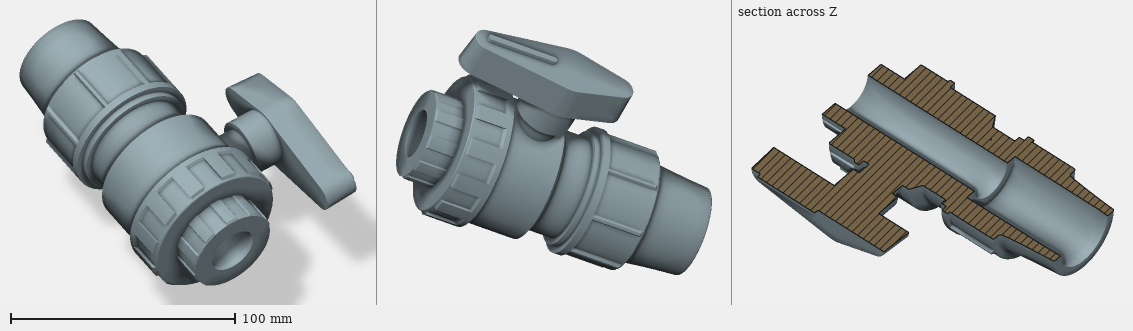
import cadquery as cq
import math


NOZZLE_RIM_X = 1.0
MOUTH_END_X = 6.3
NOZZLE_END_X = 27.6
NUT_START_X = 29.2
NUT_FLANGE_X = 54.9
COLLAR_X = 58.4
NECK_X = 61.3
SHOULDER_X = 74.4
BODY_X = 77.7
UNION_X = 104.35
UNION_END_X = 123.3
SPIGOT_END_X = 137.0

BORE_RADIUS = 22.4 / 2
MOUTH_RADIUS = 32 / 2
SOCKET_RADIUS = 16.3
NOZZLE_FACE_RADIUS = 19.9
NOZZLE_RIM_RADIUS = 20.8
NOZZLE_END_RADIUS = 23.5
NUT_RADIUS = 56.43 / 2
BODY_RADIUS = 59.4 / 2
COLLAR_RADIUS = 53.46 / 2
NECK_RADIUS = 47.52 / 2
UNION_ROOT_RADIUS = 63.36 / 2
UNION_RADIUS = 66 / 2
SPIGOT_ROOT_RADIUS = 20.2
SPIGOT_RADIUS = 20.9

NOZZLE_HOLLOW = 0.22
NUT_FLARE_RADIUS = 2.0
NUT_EDGE_FILLET = 0.9
NUT_RIB_COUNT = 8
NUT_RIB_BASE_WIDTH = 3.0
NUT_RIB_TOP_WIDTH = 1.3
NUT_RIB_END_SLOPE = 1.1

POCKET_COUNT = 12
POCKET_WIDTH = 9.64
POCKET_START_X = 106.9
POCKET_FLOOR_X = 108.2
UNION_RIB_END_X = 122.2
UNION_RIB_CHAMFER = 0.9
UNION_EDGE_CHAMFER = 0.4

SPIGOT_RIB_COUNT = 10
SPIGOT_RIB_BASE_ANGLE = 18.0
SPIGOT_RIB_TOP_ANGLE = 15.0
SPIGOT_RIB_CHAMFER = 0.9

STEM_X = 91.4
STEM_RADIUS = 19.8 / 2
HUB_RADIUS = 26.4 / 2
HUB_Y = 36.3
HANDLE_Y = 49.4
HANDLE_TOP_Y = 65.8
HANDLE_HUB_RADIUS = 14.25
HANDLE_TIP_RADIUS = 7.15
HANDLE_LEFT_END_X = 60.4
HANDLE_RIGHT_END_X = 140.17
HANDLE_DRAFT = 3.0
HANDLE_TOP_FILLET = 0.4

POINTER_START_X = 100.1
POINTER_END_X = 134.0
POINTER_WIDTH = 3.2
POINTER_TOP_Y = 67.98


def revolve_about_bore(profile):
    """Turn a closed (X, radius) outline about the bore axis."""
    return profile.close().revolve(360, (0, 0, 0), (1, 0, 0))


def cylinder_along_bore(radius, start_x, end_x):
    return cq.Workplane("YZ", origin=(start_x, 0, 0)).circle(radius).extrude(end_x - start_x)


def polar(radius, degrees):
    angle = math.radians(degrees)
    return radius * math.cos(angle), radius * math.sin(angle)


def repeat_about_bore(shape, count, first_angle):
    """Copies of a shape at equal steps about the bore axis, as one compound."""
    copies = cq.Workplane("XY")
    for index in range(count):
        angle = first_angle + index * 360 / count
        copies = copies.add(shape.rotate((0, 0, 0), (1, 0, 0), angle))
    return copies.combine()


def make_core():
    """The nozzle, compression nut, body and plain spigot as one turned solid, without ribs."""
    middle_x = (NOZZLE_RIM_X + NOZZLE_END_X) / 2
    middle_radius = (NOZZLE_RIM_RADIUS + NOZZLE_END_RADIUS) / 2 - NOZZLE_HOLLOW
    rim_middle = (
        NOZZLE_RIM_X * (1 - math.sqrt(0.5)),
        NOZZLE_FACE_RADIUS + (NOZZLE_RIM_RADIUS - NOZZLE_FACE_RADIUS) * math.sqrt(0.5),
    )
    flare_run = NUT_START_X - NOZZLE_END_X
    flare_middle = (
        NOZZLE_END_X + flare_run * math.sqrt(0.5),
        NOZZLE_END_RADIUS + NUT_FLARE_RADIUS * (1 - math.sqrt(0.5)),
    )
    profile = (
        cq.Workplane("XY")
        .moveTo(0, 0)
        .lineTo(0, NOZZLE_FACE_RADIUS)
        .threePointArc(rim_middle, (NOZZLE_RIM_X, NOZZLE_RIM_RADIUS))
        .threePointArc((middle_x, middle_radius), (NOZZLE_END_X, NOZZLE_END_RADIUS))
        .threePointArc(flare_middle, (NUT_START_X, NOZZLE_END_RADIUS + NUT_FLARE_RADIUS))
        .lineTo(NUT_START_X, NUT_RADIUS - NUT_EDGE_FILLET)
        .radiusArc((NUT_START_X + NUT_EDGE_FILLET, NUT_RADIUS), NUT_EDGE_FILLET)
        .lineTo(NUT_FLANGE_X, NUT_RADIUS)
        .lineTo(NUT_FLANGE_X, BODY_RADIUS)
        .lineTo(COLLAR_X, BODY_RADIUS)
        .lineTo(COLLAR_X, COLLAR_RADIUS)
        .lineTo(NECK_X, COLLAR_RADIUS)
        .lineTo(NECK_X, NECK_RADIUS)
        .lineTo(SHOULDER_X, NECK_RADIUS)
        .lineTo(BODY_X, BODY_RADIUS)
        .lineTo(UNION_X, BODY_RADIUS)
        .lineTo(UNION_X, SPIGOT_ROOT_RADIUS)
        .lineTo(SPIGOT_END_X, SPIGOT_ROOT_RADIUS)
        .lineTo(SPIGOT_END_X, 0)
    )
    return revolve_about_bore(profile)


def make_nut_ribs():
    """Grip ribs of the compression nut: trapezoid bars with sloped front ends."""
    start_x = NUT_START_X + NUT_EDGE_FILLET
    base_half = NUT_RIB_BASE_WIDTH / 2
    base_radius = math.sqrt(NUT_RADIUS**2 - base_half**2)
    section = [
        (0, 0),
        (base_radius, -base_half),
        (BODY_RADIUS, -NUT_RIB_TOP_WIDTH / 2),
        (BODY_RADIUS, NUT_RIB_TOP_WIDTH / 2),
        (base_radius, base_half),
    ]
    bar = (
        cq.Workplane("YZ", origin=(start_x, 0, 0))
        .polyline(section)
        .close()
        .extrude(NUT_FLANGE_X - start_x)
    )
    limits = revolve_about_bore(
        cq.Workplane("XY")
        .moveTo(start_x, 0)
        .lineTo(start_x, NUT_RADIUS)
        .lineTo(start_x + NUT_RIB_END_SLOPE, BODY_RADIUS)
        .lineTo(NUT_FLANGE_X, BODY_RADIUS)
        .lineTo(NUT_FLANGE_X, 0)
    )
    pitch = 360 / NUT_RIB_COUNT
    return repeat_about_bore(bar.intersect(limits), NUT_RIB_COUNT, pitch / 2)


def make_union_nut():
    """The union nut: a plain disc carrying a rim whose open pockets leave ribs between them."""
    disc = cylinder_along_bore(UNION_ROOT_RADIUS, UNION_X, UNION_END_X)
    disc = disc.faces(">X").chamfer(UNION_EDGE_CHAMFER)
    rim = revolve_about_bore(
        cq.Workplane("XY")
        .moveTo(UNION_X, SPIGOT_RADIUS)
        .lineTo(UNION_X, UNION_RADIUS)
        .lineTo(UNION_RIB_END_X - UNION_RIB_CHAMFER, UNION_RADIUS)
        .lineTo(UNION_RIB_END_X, UNION_ROOT_RADIUS)
        .lineTo(UNION_RIB_END_X, SPIGOT_RADIUS)
    )
    pocket_zone = revolve_about_bore(
        cq.Workplane("XY")
        .moveTo(POCKET_START_X, UNION_RADIUS)
        .lineTo(POCKET_FLOOR_X, UNION_ROOT_RADIUS)
        .lineTo(POCKET_FLOOR_X, SPIGOT_RADIUS)
        .lineTo(UNION_RIB_END_X, SPIGOT_RADIUS)
        .lineTo(UNION_RIB_END_X, UNION_RADIUS)
    )
    slab = (
        cq.Workplane("YZ", origin=(POCKET_START_X, 0, 0))
        .moveTo(UNION_RADIUS / 2, 0)
        .rect(UNION_RADIUS, POCKET_WIDTH)
        .extrude(UNION_RIB_END_X - POCKET_START_X)
    )
    pockets = repeat_about_bore(slab.intersect(pocket_zone), POCKET_COUNT, 0)
    return disc.union(rim.cut(pockets))


def make_spigot_ribs():
    """Ribs around the end spigot, with sloped sides and a chamfer at the open end."""
    length = SPIGOT_END_X - UNION_END_X
    base_half = SPIGOT_RIB_BASE_ANGLE / 2
    top_half = SPIGOT_RIB_TOP_ANGLE / 2
    rib = (
        cq.Workplane("YZ", origin=(UNION_END_X, 0, 0))
        .moveTo(0, 0)
        .lineTo(*polar(SPIGOT_ROOT_RADIUS, -base_half))
        .lineTo(*polar(SPIGOT_RADIUS, -top_half))
        .threePointArc((SPIGOT_RADIUS, 0), polar(SPIGOT_RADIUS, top_half))
        .lineTo(*polar(SPIGOT_ROOT_RADIUS, base_half))
        .close()
        .extrude(length)
    )
    limits = cylinder_along_bore(SPIGOT_RADIUS, UNION_END_X, SPIGOT_END_X)
    limits = limits.faces(">X").chamfer(SPIGOT_RIB_CHAMFER)
    pitch = 360 / SPIGOT_RIB_COUNT
    return repeat_about_bore(rib.intersect(limits), SPIGOT_RIB_COUNT, pitch / 2)


def make_stem():
    """Round stem and the wider hub that carries the handle."""
    stem = cq.Workplane("XY").circle(STEM_RADIUS).extrude(HUB_Y)
    hub = cq.Workplane("XY", origin=(0, 0, HUB_Y)).circle(HUB_RADIUS).extrude(HANDLE_Y - HUB_Y)
    return place_on_stem_axis(stem.union(hub))


def place_on_stem_axis(shape):
    """Move a shape built along Z onto the stem axis, pointing to +Y."""
    return shape.rotate((0, 0, 0), (1, 0, 0), -90).translate((STEM_X, 0, 0))


def make_handle():
    """Drafted lever: a hub circle joined to two rounded tips by tangent flanks."""
    left_center = HANDLE_LEFT_END_X + HANDLE_TIP_RADIUS - STEM_X
    right_center = HANDLE_RIGHT_END_X - HANDLE_TIP_RADIUS - STEM_X
    radius_step = HANDLE_HUB_RADIUS - HANDLE_TIP_RADIUS
    left_angle = 180 - math.degrees(math.acos(radius_step / -left_center))
    right_angle = math.degrees(math.acos(radius_step / right_center))

    def tangent_point(center, radius, angle):
        along, across = polar(radius, angle)
        return center + along, across

    lever = (
        cq.Workplane("XY", origin=(0, 0, HANDLE_Y))
        .moveTo(*tangent_point(0, HANDLE_HUB_RADIUS, right_angle))
        .threePointArc((0, HANDLE_HUB_RADIUS), tangent_point(0, HANDLE_HUB_RADIUS, left_angle))
        .lineTo(*tangent_point(left_center, HANDLE_TIP_RADIUS, left_angle))
        .threePointArc(
            (left_center - HANDLE_TIP_RADIUS, 0),
            tangent_point(left_center, HANDLE_TIP_RADIUS, -left_angle),
        )
        .lineTo(*tangent_point(0, HANDLE_HUB_RADIUS, -left_angle))
        .threePointArc((0, -HANDLE_HUB_RADIUS), tangent_point(0, HANDLE_HUB_RADIUS, -right_angle))
        .lineTo(*tangent_point(right_center, HANDLE_TIP_RADIUS, -right_angle))
        .threePointArc(
            (right_center + HANDLE_TIP_RADIUS, 0),
            tangent_point(right_center, HANDLE_TIP_RADIUS, right_angle),
        )
        .close()
        .extrude(HANDLE_TOP_Y - HANDLE_Y, taper=HANDLE_DRAFT)
    )
    lever = lever.faces(">Z").edges().fillet(HANDLE_TOP_FILLET)
    return place_on_stem_axis(lever)


def make_pointer():
    """Raised round-ended bar on top of the longer handle arm."""
    middle = (POINTER_START_X + POINTER_END_X) / 2 - STEM_X
    bar = (
        cq.Workplane("XY", origin=(middle, 0, HANDLE_Y))
        .slot2D(POINTER_END_X - POINTER_START_X, POINTER_WIDTH)
        .extrude(POINTER_TOP_Y - HANDLE_Y)
    )
    return place_on_stem_axis(bar)


def make_bore():
    """Through bore and a wider pipe socket whose mouth narrows slightly toward the nozzle rim."""
    bore = cylinder_along_bore(BORE_RADIUS, 0, SPIGOT_END_X)
    socket = revolve_about_bore(
        cq.Workplane("XY")
        .moveTo(0, 0)
        .lineTo(0, MOUTH_RADIUS)
        .lineTo(MOUTH_END_X, SOCKET_RADIUS)
        .lineTo(NUT_FLANGE_X, SOCKET_RADIUS)
        .lineTo(NUT_FLANGE_X, 0)
    )
    return bore.union(socket)


result = (
    make_core()
    .union(make_nut_ribs())
    .union(make_union_nut())
    .union(make_spigot_ribs())
    .union(make_stem())
    .union(make_handle())
    .union(make_pointer())
    .cut(make_bore())
)